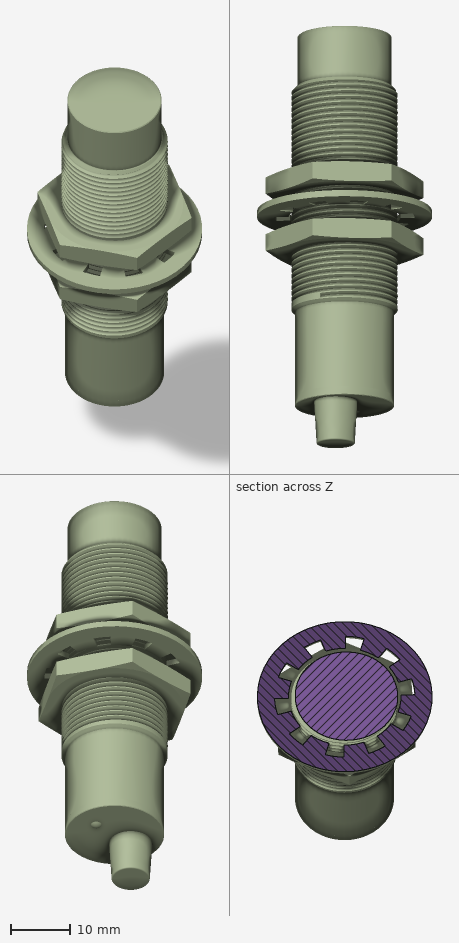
import cadquery as cq
import math

gland_top = 7.4
end_cap_top = 8.8
thread_bottom = 23.6
sleeve_top = 62.85
overall_height = 71.75

thread_radius = 9.005
thread_pitch = 1.0
thread_depth = 0.6
barrel_radius = thread_radius - thread_depth
thread_flank_angle = 30.0
thread_root_flat = 0.115
thread_overcut = 0.1
turns_per_cut = 10
groove_start_height = 24.75
groove_start_angle = 176.0
bottom_chamfer_height = 0.6
top_chamfer_height = 0.85
sleeve_top_radius = 8.2

face_radius = 8.0
face_chamfer = 0.15

end_cap_chamfer = 0.11

gland_offset = -3.7
gland_top_radius = 3.65
gland_bottom_radius = 3.2
gland_fillet = 0.2
lamp_offset = 4.2
lamp_radius = 0.9
lamp_height = 0.4

nut_across_flats = 23.25
nut_thickness = 3.45
nut_chamfer_height = 0.3
nut_heights = [33.9, 43.8]

washer_radius = 14.815
washer_thickness = 1.1
washer_height = 40.3
washer_bore_radius = 9.5
tooth_count = 10
slot_outer_radius = 11.85
slot_angle = 15.0


def revolve_about_z(profile):
    return profile.close().revolve(360, (0, 0, 0), (0, 1, 0))


def make_groove_length():
    """Stretch of right-hand trapezoidal groove that starts on the X axis at height zero."""
    outer_radius = thread_radius + thread_overcut
    root_half_width = thread_root_flat / 2
    outer_half_width = root_half_width + (outer_radius - barrel_radius) * math.tan(
        math.radians(thread_flank_angle)
    )
    helix = cq.Wire.makeHelix(thread_pitch, turns_per_cut * thread_pitch, barrel_radius)
    return (
        cq.Workplane("XZ")
        .moveTo(barrel_radius, -root_half_width)
        .lineTo(barrel_radius, root_half_width)
        .lineTo(outer_radius, outer_half_width)
        .lineTo(outer_radius, -outer_half_width)
        .close()
        .sweep(cq.Workplane(helix), isFrenet=True)
    )


def make_sleeve():
    """Smooth barrel below a threaded length; the groove starts blind and runs out through the top."""
    sleeve = revolve_about_z(
        cq.Workplane("XZ")
        .moveTo(0, end_cap_top)
        .lineTo(barrel_radius, end_cap_top)
        .lineTo(barrel_radius, thread_bottom)
        .lineTo(thread_radius, thread_bottom + bottom_chamfer_height)
        .lineTo(thread_radius, sleeve_top - top_chamfer_height)
        .lineTo(sleeve_top_radius, sleeve_top)
        .lineTo(0, sleeve_top)
    )
    groove_length = make_groove_length()
    cut_height = turns_per_cut * thread_pitch
    for index in range(math.ceil((sleeve_top - groove_start_height) / cut_height)):
        sleeve = sleeve.cut(groove_length.translate((0, 0, groove_start_height + index * cut_height)))
    return sleeve.rotate((0, 0, 0), (0, 0, 1), groove_start_angle)


def make_face_cap():
    return (
        cq.Workplane("XY", origin=(0, 0, sleeve_top))
        .circle(face_radius)
        .extrude(overall_height - sleeve_top)
        .faces(">Z")
        .chamfer(face_chamfer)
    )


def make_end_cap():
    return (
        cq.Workplane("XY", origin=(0, 0, gland_top))
        .circle(barrel_radius)
        .extrude(end_cap_top - gland_top)
        .faces("<Z")
        .chamfer(end_cap_chamfer)
    )


def make_gland():
    cone = revolve_about_z(
        cq.Workplane("XZ")
        .lineTo(gland_bottom_radius, 0)
        .lineTo(gland_top_radius, gland_top)
        .lineTo(0, gland_top)
    )
    return cone.faces("<Z").edges().fillet(gland_fillet).translate((gland_offset, 0, 0))


def make_lamp():
    """Shallow spherical dome under the end cap."""
    sphere_radius = (lamp_radius**2 + lamp_height**2) / (2 * lamp_height)
    mid_angle = math.asin(lamp_radius / sphere_radius) / 2
    centre_height = sphere_radius - lamp_height
    arc_middle = (sphere_radius * math.sin(mid_angle), centre_height - sphere_radius * math.cos(mid_angle))
    dome = revolve_about_z(
        cq.Workplane("XZ").lineTo(lamp_radius, 0).threePointArc(arc_middle, (0, -lamp_height))
    )
    return dome.translate((lamp_offset, 0, gland_top))


def make_nut(height):
    """Hexagon nut with corners on the X axis, chamfered at both ends to a circle touching the flats."""
    corner_radius = nut_across_flats / math.sqrt(3)
    flat_radius = nut_across_flats / 2
    hexagon = cq.Workplane("XY").polygon(6, 2 * corner_radius).extrude(nut_thickness)
    chamfer_envelope = revolve_about_z(
        cq.Workplane("XZ")
        .lineTo(flat_radius, 0)
        .lineTo(corner_radius, nut_chamfer_height)
        .lineTo(corner_radius, nut_thickness - nut_chamfer_height)
        .lineTo(flat_radius, nut_thickness)
        .lineTo(0, nut_thickness)
    )
    bore = cq.Workplane("XY").circle(thread_radius).extrude(nut_thickness)
    return hexagon.intersect(chamfer_envelope).cut(bore).translate((0, 0, height))


def make_washer():
    """Flat washer whose bore is cut by radial slots, leaving teeth between them."""
    washer = (
        cq.Workplane("XY")
        .circle(washer_radius)
        .circle(washer_bore_radius)
        .extrude(washer_thickness)
    )
    half_angle = math.radians(slot_angle / 2)
    corner = (slot_outer_radius * math.cos(half_angle), slot_outer_radius * math.sin(half_angle))
    slot = (
        cq.Workplane("XY")
        .lineTo(corner[0], -corner[1])
        .threePointArc((slot_outer_radius, 0), corner)
        .close()
        .extrude(washer_thickness)
    )
    for index in range(tooth_count):
        washer = washer.cut(slot.rotate((0, 0, 0), (0, 0, 1), index * 360 / tooth_count))
    return washer.translate((0, 0, washer_height))


sleeve = make_sleeve()
face_cap = make_face_cap()
end_cap = make_end_cap()
gland = make_gland()
lamp = make_lamp()
washer = make_washer()
nuts = [make_nut(height) for height in nut_heights]

result = cq.Compound.makeCompound(
    [
        sleeve.val(),
        face_cap.val(),
        end_cap.val(),
        gland.val(),
        lamp.val(),
        washer.val(),
        *[nut.val() for nut in nuts],
    ]
)